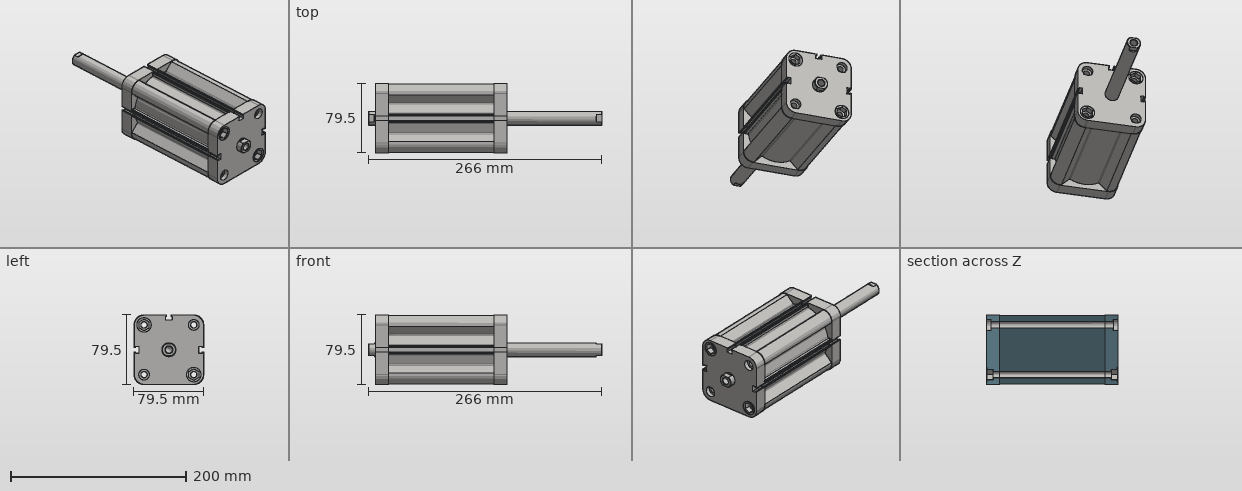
import cadquery as cq
import math

ROD_LENGTH = 266.0
ROD_RADIUS = 8.0
ROD_END_CHAMFER = 0.5
ROD_PROTRUSION = 7.5
FLAT_HALF_HEIGHT = 6.6
FLAT_LENGTH = 6.0
FLAT_RUNOUT = 0.8
ROD_END_HOLE_RADIUS = 4.0
ROD_END_HOLE_CHAMFER = 0.5
ROD_END_HOLE_DEPTH = 16.0
DRILL_POINT_ANGLE = 118.0

CAP_SIZE = 79.5
CAP_LENGTH = 15.2
CAP_CORNER_RADIUS = 11.5

TUBE_LENGTH = 120.0
TUBE_HALF_SIZE = 39.0
BARREL_RADIUS = 34.0
LOBE_EDGE = 26.5
ROOT_FILLET = 1.2
RAIL_HALF_WIDTH = 4.8
RAIL_EDGE_CHAMFER = 0.8

SLOT_MOUTH_HALF_WIDTH = 2.7
SLOT_FLOOR_HALF_WIDTH = 3.7
SLOT_LIP_DEPTH = 1.9
SLOT_DEPTH = 5.5

BOLT_HOLE_RADIUS = 3.5
COUNTERBORE_RADIUS = 6.0
COUNTERBORE_DEPTH = 5.3
HEX_ACROSS_FLATS = 11.5
HEX_DEPTH = 7.7
HEX_RECESS_RADIUS = 8.2
HEX_RECESS_DEPTH = 0.8

CAP_HALF_SIZE = CAP_SIZE / 2
BOLT_OFFSET = CAP_HALF_SIZE - CAP_CORNER_RADIUS
LOBE_RADIUS = TUBE_HALF_SIZE - BOLT_OFFSET
NEAR_CAP_X = ROD_PROTRUSION
TUBE_X = NEAR_CAP_X + CAP_LENGTH
FAR_CAP_X = TUBE_X + TUBE_LENGTH

DIAGONALS = [(1, 1), (-1, 1), (-1, -1), (1, -1)]
SLOT_ANGLES = [0, 90, 180]


def section(x):
    """Sketch plane across the cylinder at x; local axes are Y and Z, extrusion runs along +X."""
    return cq.Workplane("YZ", origin=(x, 0, 0))


def around_axis(shape, angle):
    return shape.rotate((0, 0, 0), (1, 0, 0), angle)


def bolt_points(diagonals):
    return [(y * BOLT_OFFSET, z * BOLT_OFFSET) for y, z in diagonals]


def slot_bar(x, length, inner, outer, half_width):
    """Rectangular bar along X on the +Y side, between two distances from the axis."""
    bar = section(x).center((inner + outer) / 2, 0).rect(outer - inner, 2 * half_width)
    return bar.extrude(length)


def cut_slots(body, x, length):
    """T-slots running along X; the floor lies at the same level in caps and tube."""
    lip = CAP_HALF_SIZE - SLOT_LIP_DEPTH
    floor = CAP_HALF_SIZE - SLOT_DEPTH
    mouth = slot_bar(x, length, floor, CAP_HALF_SIZE, SLOT_MOUTH_HALF_WIDTH)
    undercut = slot_bar(x, length, floor, lip, SLOT_FLOOR_HALF_WIDTH)
    slot = mouth.union(undercut)
    for angle in SLOT_ANGLES:
        body = body.cut(around_axis(slot, angle))
    return body


def cut_rod_and_bolt_holes(body, x, length):
    bore = section(x).circle(ROD_RADIUS).extrude(length)
    bolts = section(x).pushPoints(bolt_points(DIAGONALS)).circle(BOLT_HOLE_RADIUS).extrude(length)
    return body.cut(bore).cut(bolts)


def cap_blank(x):
    """Rounded square plate with its slots and through holes, before the screw seats."""
    blank = (
        section(x)
        .rect(CAP_SIZE, CAP_SIZE)
        .extrude(CAP_LENGTH)
        .edges("|X")
        .fillet(CAP_CORNER_RADIUS)
    )
    blank = cut_slots(blank, x, CAP_LENGTH)
    return cut_rod_and_bolt_holes(blank, x, CAP_LENGTH)


def round_seats():
    """Round counterbores on one diagonal of the cap's outer face."""
    points = bolt_points([(-1, 1), (1, -1)])
    return section(NEAR_CAP_X).pushPoints(points).circle(COUNTERBORE_RADIUS).extrude(COUNTERBORE_DEPTH)


def hex_seats():
    """Hexagonal pockets, each in a shallow round recess, on the other diagonal."""
    points = bolt_points([(1, 1), (-1, -1)])
    across_corners = HEX_ACROSS_FLATS / math.cos(math.pi / 6)
    hexagon = cq.Sketch().regularPolygon(across_corners / 2, 6)
    pockets = section(NEAR_CAP_X).pushPoints(points).placeSketch(hexagon).extrude(HEX_DEPTH)
    recesses = section(NEAR_CAP_X).pushPoints(points).circle(HEX_RECESS_RADIUS).extrude(HEX_RECESS_DEPTH)
    return pockets.union(recesses)


def make_near_cap():
    return cap_blank(NEAR_CAP_X).cut(round_seats()).cut(hex_seats())


def make_far_cap():
    """Mirror image of the near cap, with its screw seats on the outer face."""
    middle_x = (NEAR_CAP_X + FAR_CAP_X + CAP_LENGTH) / 2
    return make_near_cap().mirror("YZ", (middle_x, 0, 0))


def corner_lobe():
    """Rounded corner around a bolt hole, with 45 degree flanks running down into the barrel."""
    edge_drop = BOLT_OFFSET - LOBE_EDGE
    edge_face = BOLT_OFFSET + math.sqrt(LOBE_RADIUS**2 - edge_drop**2)
    corner = BOLT_OFFSET + LOBE_RADIUS * math.sqrt(0.5)
    axis_reach = edge_face - LOBE_EDGE
    return (
        section(TUBE_X)
        .moveTo(axis_reach, 0)
        .lineTo(edge_face, LOBE_EDGE)
        .threePointArc((corner, corner), (LOBE_EDGE, edge_face))
        .lineTo(0, axis_reach)
        .close()
        .extrude(TUBE_LENGTH)
    )


def slot_rail():
    """Straight rail standing on the +Y side of the barrel, wide enough to hold a T-slot."""
    rail = slot_bar(TUBE_X, TUBE_LENGTH, 0, TUBE_HALF_SIZE, RAIL_HALF_WIDTH)
    return rail.faces(">Y").edges("|X").chamfer(RAIL_EDGE_CHAMFER)


def is_root(edge):
    """True for the lengthwise edges lying on the barrel's surface."""
    middle = edge.Center()
    return abs(math.hypot(middle.y, middle.z) - BARREL_RADIUS) < ROOT_FILLET / 4


def make_tube():
    tube = section(TUBE_X).circle(BARREL_RADIUS).extrude(TUBE_LENGTH)
    for quarter in range(4):
        tube = tube.union(around_axis(corner_lobe(), 90 * quarter))
    for angle in SLOT_ANGLES:
        tube = tube.union(around_axis(slot_rail(), angle))
    roots = [edge for edge in tube.edges("|X").vals() if is_root(edge)]
    tube = tube.newObject(roots).fillet(ROOT_FILLET)
    tube = cut_slots(tube, TUBE_X, TUBE_LENGTH)
    return cut_rod_and_bolt_holes(tube, TUBE_X, TUBE_LENGTH)


def rod_end_hole():
    """Blind hole from x = 0 with a conical drill point."""
    point_length = ROD_END_HOLE_RADIUS / math.tan(math.radians(DRILL_POINT_ANGLE / 2))
    return (
        cq.Workplane("XY")
        .polyline([
            (0, 0),
            (0, ROD_END_HOLE_RADIUS + ROD_END_HOLE_CHAMFER),
            (ROD_END_HOLE_CHAMFER, ROD_END_HOLE_RADIUS),
            (ROD_END_HOLE_DEPTH, ROD_END_HOLE_RADIUS),
            (ROD_END_HOLE_DEPTH + point_length, 0),
        ])
        .close()
        .revolve(360, (0, 0, 0), (1, 0, 0))
    )


def wrench_flats():
    """Material above and below the two flats at the x = 0 end; each flat ends in a slope."""
    upper = (
        cq.Workplane("XZ", origin=(0, ROD_RADIUS, 0))
        .polyline([
            (0, FLAT_HALF_HEIGHT),
            (FLAT_LENGTH, FLAT_HALF_HEIGHT),
            (FLAT_LENGTH + FLAT_RUNOUT, ROD_RADIUS),
            (0, ROD_RADIUS),
        ])
        .close()
        .extrude(2 * ROD_RADIUS)
    )
    return upper.add(upper.mirror("XY")).combine()


def make_rod():
    """Through rod with the same flats and end hole at both ends."""
    rod = section(0).circle(ROD_RADIUS).extrude(ROD_LENGTH)
    rod = rod.faces("<X or >X").chamfer(ROD_END_CHAMFER)
    for cutter in (rod_end_hole(), wrench_flats()):
        rod = rod.cut(cutter)
        rod = rod.cut(cutter.mirror("YZ", (ROD_LENGTH / 2, 0, 0)))
    return rod


near_cap = make_near_cap()
far_cap = make_far_cap()
tube = make_tube()
rod = make_rod()

result = cq.Compound.makeCompound([near_cap.val(), far_cap.val(), tube.val(), rod.val()])